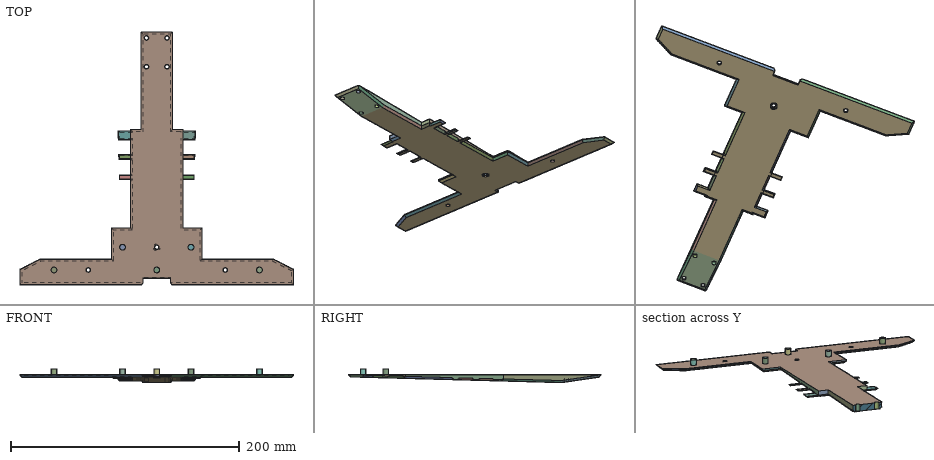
import cadquery as cq

base_width = 240.0
part_length = 221.5
half_base = base_width / 2
end_height = 13.5
base_depth = 22.5
corner_run = 18.0
block_half_width = 39.8
block_end = 50.0
stem_half_width = 23.0
stem_end = 136.0
tongue_half_width = 14.0
tongue_corner = 0.7

total_height = 12.0
edge_thickness = 2.0
ridge_thickness = 7.0
ridge_position = 186.7
under_bevel = 1.9

notch_half_width = 12.0
notch_depth = 6.0
notch_flare = 1.5
lip_setback = 0.7
lip_height = 1.2

tabs = [(94.0, 6.7), (111.8, 6.5), (130.8, 9.0)]
tab_half_span = 34.3
tab_top = -4.0

pin_diameter = 5.0
hole_diameter = 3.5
counterbore_diameter = 6.0
counterbore_roof = -1.5
spacing = 30.0
front_row = 13.0
back_row = 33.0
tongue_hole_x = 9.0
tongue_hole_rows = (191.0, 216.2)

centre_hole = (0, back_row)
pin_points = [
    (-3 * spacing, front_row),
    (0, front_row),
    (3 * spacing, front_row),
    (-spacing, back_row),
    (spacing, back_row),
]
hole_points = [centre_hole, (-2 * spacing, front_row), (2 * spacing, front_row)]
hole_points += [(side * tongue_hole_x, y) for side in (-1, 1) for y in tongue_hole_rows]


def mirrored(right_half):
    """Right half of an outline followed by its mirror image in X."""
    return right_half + [(-x, y) for x, y in reversed(right_half)]


def plate_outline():
    """Plan outline of base, block, stem with side tabs, and tongue."""
    right_half = [
        (half_base, 0),
        (half_base, end_height),
        (half_base - corner_run, base_depth),
        (block_half_width, base_depth),
        (block_half_width, block_end),
        (stem_half_width, block_end),
    ]
    for middle, length in tabs:
        near = middle - length / 2
        far = middle + length / 2
        right_half += [
            (stem_half_width, near),
            (tab_half_span, near),
            (tab_half_span, far),
            (stem_half_width, far),
        ]
    right_half += [
        (stem_half_width, stem_end),
        (tongue_half_width, stem_end),
        (tongue_half_width, part_length),
    ]
    return mirrored(right_half)


def extruded_plan(outline):
    """Prism with the given plan outline, from the top face down to the ridge level."""
    return cq.Workplane("XY").polyline(outline).close().extrude(-ridge_thickness)


def extruded_side(profile):
    """Prism with the given (Y, Z) profile, spanning the full width of the base."""
    return cq.Workplane("YZ").polyline(profile).close().extrude(half_base, both=True)


def rim_edges(plate):
    """Edges around the underside, leaving out the ridge line its two slopes share."""
    slopes = [face for face in plate.faces().vals() if face.normalAt().z < 0]
    edges = [edge for face in slopes for edge in face.Edges()]
    return [edge for edge in edges if sum(edge.isSame(other) for other in edges) == 1]


def bevelled_plate():
    """Plate with a flat top and a two-slope underside, bevelled all round from below."""
    side_profile = [
        (0, 0),
        (0, -edge_thickness),
        (ridge_position, -ridge_thickness),
        (part_length, -edge_thickness),
        (part_length, 0),
    ]
    plate = extruded_plan(plate_outline()).intersect(extruded_side(side_profile))
    return plate.newObject(rim_edges(plate)).chamfer(under_bevel)


def tab_clearance():
    """Space above the tabs on both sides of the stem."""
    width = tab_half_span - stem_half_width
    length = stem_end - block_end
    middle_x = stem_half_width + width / 2
    middle_y = block_end + length / 2
    return (
        cq.Workplane("XY")
        .pushPoints([(-middle_x, middle_y), (middle_x, middle_y)])
        .rect(width, length)
        .extrude(tab_top)
    )


def front_notch():
    """Notch with a flared mouth; its back wall leans forward to a lip, then slopes back."""
    opening = mirrored(
        [
            (notch_half_width + notch_flare, 0),
            (notch_half_width, notch_flare),
            (notch_half_width, part_length),
        ]
    )
    lip = notch_depth - lip_setback
    back_wall = [
        (0, 0),
        (notch_depth, 0),
        (lip, -lip_height),
        (lip + ridge_thickness - lip_height, -ridge_thickness),
        (0, -ridge_thickness),
    ]
    return extruded_plan(opening).intersect(extruded_side(back_wall))


def tip_corner_cuts():
    """Diamond prisms that trim the two upright corners at the tip of the tongue."""
    return (
        cq.Workplane("XY")
        .pushPoints([(-tongue_half_width, part_length), (tongue_half_width, part_length)])
        .polygon(4, 2 * tongue_corner)
        .extrude(-ridge_thickness)
    )


def cylinders(points, diameter, bottom, top):
    """Upright cylinders at the given points, between two Z levels."""
    base = cq.Workplane("XY", origin=(0, 0, bottom)).pushPoints(points)
    return base.circle(diameter / 2).extrude(top - bottom)


plate = bevelled_plate().cut(tab_clearance()).cut(front_notch()).cut(tip_corner_cuts())

pin_root = -edge_thickness / 2
pin_top = total_height - ridge_thickness
pins = cylinders(pin_points, pin_diameter, pin_root, pin_top)

holes = cylinders(hole_points, hole_diameter, -ridge_thickness, 0)
counterbore = cylinders([centre_hole], counterbore_diameter, -ridge_thickness, counterbore_roof)

result = plate.union(pins).cut(holes).cut(counterbore)